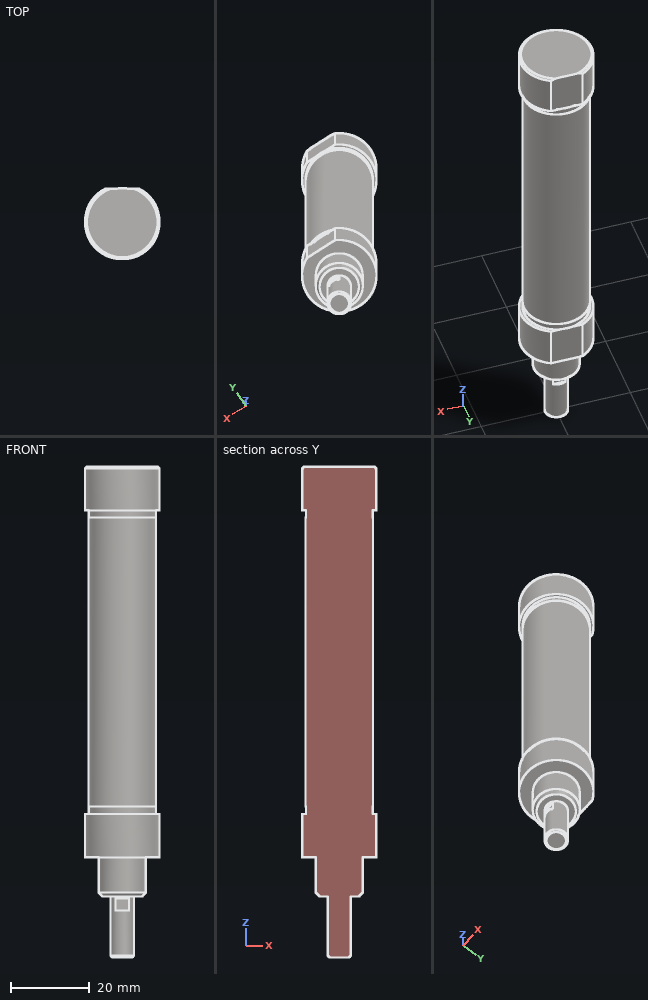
import cadquery as cq

total_length = 125.0
rod_length = 15.5
boss_length = 10.0
cap_length = 11.1
neck_length = 1.9

rod_diameter = 6.0
boss_diameter = 12.0
cap_diameter = 19.0
neck_diameter = 17.2
tube_diameter = 17.3

rod_chamfer = 0.5
boss_chamfer = 1.0
top_chamfer = 0.5

cap_flat_distance = 8.5

wrench_width = 5.0
wrench_length = 3.0
wrench_gap = 0.5

boss_bottom = rod_length
lower_cap_bottom = boss_bottom + boss_length
lower_neck_bottom = lower_cap_bottom + cap_length
tube_bottom = lower_neck_bottom + neck_length
upper_cap_bottom = total_length - cap_length
tube_top = upper_cap_bottom - neck_length


def cylinder(diameter, bottom, top):
    """Round section on the Z axis between two levels."""
    return cq.Workplane("XY").workplane(offset=bottom).circle(diameter / 2).extrude(top - bottom)


def cut_cap_flat(cap):
    """Remove everything beyond the flat on the +Y side of a cap."""
    cutter = (
        cq.Workplane("XY")
        .box(cap_diameter, cap_diameter, total_length, centered=(True, False, False))
        .translate((0, cap_flat_distance, 0))
    )
    return cap.cut(cutter)


def make_rod():
    """Rod with a chamfered tip and two wrench flats facing -Y and +Y."""
    rod = cylinder(rod_diameter, 0, boss_bottom).faces("<Z").chamfer(rod_chamfer)
    flats_top = boss_bottom - wrench_gap
    for side in (-1, 1):
        cutter = (
            cq.Workplane("XY")
            .box(rod_diameter, rod_diameter, wrench_length)
            .translate((0, side * (wrench_width + rod_diameter) / 2, flats_top - wrench_length / 2))
        )
        rod = rod.cut(cutter)
    return rod


def make_boss():
    """Mounting boss with a chamfered lower edge."""
    return cylinder(boss_diameter, boss_bottom, lower_cap_bottom).faces("<Z").chamfer(boss_chamfer)


def make_lower_cap():
    """Rod-end cap with its side flat."""
    return cut_cap_flat(cylinder(cap_diameter, lower_cap_bottom, lower_neck_bottom))


def make_upper_cap():
    """Closed-end cap with a chamfered top edge and its side flat."""
    cap = cylinder(cap_diameter, upper_cap_bottom, total_length)
    return cut_cap_flat(cap.faces(">Z").chamfer(top_chamfer))


def make_barrel():
    """Tube with a slightly smaller neck at each end."""
    necks = cylinder(neck_diameter, lower_neck_bottom, upper_cap_bottom)
    return necks.union(cylinder(tube_diameter, tube_bottom, tube_top))


result = (
    make_rod()
    .union(make_boss())
    .union(make_lower_cap())
    .union(make_barrel())
    .union(make_upper_cap())
)